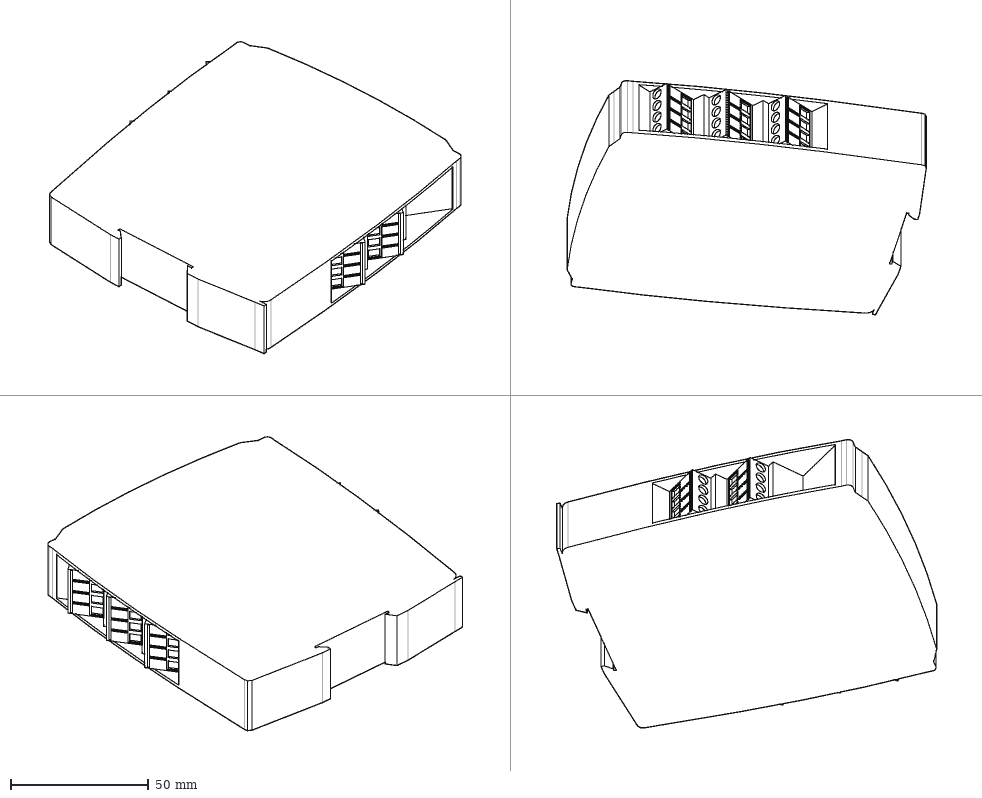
import cadquery as cq
import math

THICKNESS = 22.5
TOP_Y = 61.0
BOTTOM_Y = -61.0

FLANK_HALF_WIDTH = 53.5
FLANK_BOW_Y = 11.2
FLANK_TOP_X = 52.6
FLANK_TOP_Y = 51.6
FLANK_TAPER_X = 52.3
FLANK_TAPER_Y = -28.0

SHOULDER_Y = 55.5
SHOULDER_HALF_WIDTH = 47.9
BEVEL_BEND_X = 44.8
BEVEL_BEND_Y = 57.1
CROWN_HALF_WIDTH = 42.0
CROWN_Y = 58.5
CORNER_RADIUS = 2.0

LEFT_BEVEL_X = 50.6
LEFT_BEVEL_Y = -55.6
LEFT_BEVEL_BEND_X = 50.3
LEFT_BEVEL_BEND_Y = -57.0
LEFT_BEVEL_END_X = 48.8
LEFT_BEVEL_END_Y = -57.8

SLOT_Y = -56.2
HOOK_LIP_Y = -57.1
LEFT_HOOK_X = -14.3
LEFT_HOOK_FLAT_X = -18.2
LEFT_HOOK_NOSE_Y = -59.6
LEFT_HOOK_ROOT_X = -16.8
SLOT_LEFT_X = -17.8
SLOT_RIGHT_X = 16.7
FOOT_TIP_X = 14.8
FOOT_Y = -60.6
FOOT_FLAT_LEFT_X = 17.5
FOOT_FLAT_RIGHT_X = 22.7
FOOT_BEND_X = 47.1
FOOT_BEND_Y = -57.8
FOOT_END_X = 51.1
FOOT_END_Y = -57.5
CREASE_X = 48.0
RIGHT_CORNER_X = 50.7
RIGHT_CORNER_Y = -53.2

WINDOW_TOP_Y = 49.3
WINDOW_BOTTOM_Y = -20.5
WINDOW_HEIGHT = 19.8
PLUG_COUNT = 3
PLUG_PITCH = 22.0
OVERALL_WIDTH = 110.6
PLUG_TIP_X = -OVERALL_WIDTH / 2
FIRST_TIP_Y = 39.5
PLUG_TILT = math.radians(37.7)
PLUG_LENGTH = 14.5
PLUG_DEPTH = 8.3
NOTCH_SIDE = 22.0

POLE_COUNT = 4
POLE_PITCH = 5.0
SCREW_DIAMETER = 4.0
SCREW_HOLE_DEPTH = 1.2
SCREW_FROM_TIP = 4.9
PANEL_START = 1.0
PANEL_END = 13.5
PANEL_HEIGHT = 19.3
PANEL_SINK = 0.4
BUTTON_START = 1.7
BUTTON_END = 8.0
BUTTON_HEIGHT = 4.3
ENTRY_START = 8.7
ENTRY_HEIGHT = 3.4
ENTRY_DEPTH = 0.7

ALONG = (math.sin(PLUG_TILT), -math.cos(PLUG_TILT))
INWARD = (math.cos(PLUG_TILT), math.sin(PLUG_TILT))
POLE_HEIGHTS = [(i - (POLE_COUNT - 1) / 2) * POLE_PITCH for i in range(POLE_COUNT)]


def make_housing():
    flank = [
        (FLANK_TOP_X, FLANK_TOP_Y),
        (FLANK_HALF_WIDTH, FLANK_BOW_Y),
        (FLANK_TAPER_X, FLANK_TAPER_Y),
    ]
    right_flank = flank + [(RIGHT_CORNER_X, RIGHT_CORNER_Y)]
    left_flank = [(-x, y) for x, y in flank + [(LEFT_BEVEL_X, LEFT_BEVEL_Y)]]
    left_flank.reverse()
    outline = (
        cq.Workplane("XY", origin=(0, 0, -THICKNESS / 2))
        .moveTo(-CROWN_HALF_WIDTH, CROWN_Y)
        .threePointArc((0, TOP_Y), (CROWN_HALF_WIDTH, CROWN_Y))
        .lineTo(BEVEL_BEND_X, BEVEL_BEND_Y)
        .lineTo(SHOULDER_HALF_WIDTH, SHOULDER_Y)
        .lineTo(FLANK_TOP_X, SHOULDER_Y)
        .lineTo(FLANK_TOP_X, FLANK_TOP_Y)
        .spline(right_flank[1:], includeCurrent=True)
        .tangentArcPoint((CREASE_X, SLOT_Y), relative=False)
        .lineTo(FOOT_END_X, SLOT_Y)
        .lineTo(FOOT_END_X, FOOT_END_Y)
        .lineTo(FOOT_BEND_X, FOOT_BEND_Y)
        .lineTo(FOOT_FLAT_RIGHT_X, FOOT_Y)
        .lineTo(FOOT_FLAT_LEFT_X, FOOT_Y)
        .lineTo(FOOT_TIP_X, HOOK_LIP_Y)
        .lineTo(SLOT_RIGHT_X, HOOK_LIP_Y)
        .lineTo(SLOT_RIGHT_X, SLOT_Y)
        .lineTo(SLOT_LEFT_X, SLOT_Y)
        .lineTo(SLOT_LEFT_X, HOOK_LIP_Y)
        .lineTo(LEFT_HOOK_ROOT_X, HOOK_LIP_Y)
        .lineTo(LEFT_HOOK_X, LEFT_HOOK_NOSE_Y)
        .lineTo(LEFT_HOOK_X, BOTTOM_Y)
        .lineTo(LEFT_HOOK_FLAT_X, BOTTOM_Y)
        .lineTo(-LEFT_BEVEL_END_X, LEFT_BEVEL_END_Y)
        .lineTo(-LEFT_BEVEL_BEND_X, LEFT_BEVEL_BEND_Y)
        .lineTo(-LEFT_BEVEL_X, LEFT_BEVEL_Y)
        .spline(left_flank[1:], includeCurrent=True)
        .lineTo(-FLANK_TOP_X, SHOULDER_Y)
        .lineTo(-SHOULDER_HALF_WIDTH, SHOULDER_Y)
        .lineTo(-BEVEL_BEND_X, BEVEL_BEND_Y)
        .close()
    )
    body = outline.extrude(THICKNESS)
    for x in (-FLANK_TOP_X, FLANK_TOP_X):
        edge = body.edges(cq.selectors.NearestToPointSelector((x, SHOULDER_Y, 0)))
        body = edge.fillet(CORNER_RADIUS)
    return body


def plug_point(tip, along, inward):
    """Point at the given distances from a plug tip, in the tilted plug directions."""
    x = tip[0] + along * ALONG[0] + inward * INWARD[0]
    y = tip[1] + along * ALONG[1] + inward * INWARD[1]
    return (x, y)


def tilted_prism(tip, section, height, z=0):
    """Prism along Z whose section is given as (along, inward) distances from the tip."""
    points = [plug_point(tip, along, inward) for along, inward in section]
    base = cq.Workplane("XY", origin=(0, 0, z - height / 2))
    return base.polyline(points).close().extrude(height)


def tilted_block(tip, along, inward, height, z=0):
    """Tilted box between two along distances and two inward distances."""
    section = [
        (along[0], inward[0]),
        (along[1], inward[0]),
        (along[1], inward[1]),
        (along[0], inward[1]),
    ]
    return tilted_prism(tip, section, height, z)


def make_notch(tip):
    """Right-angled socket whose inner corner is the inner corner of a seated plug."""
    along = (PLUG_LENGTH - NOTCH_SIDE, PLUG_LENGTH)
    inward = (PLUG_DEPTH - NOTCH_SIDE, PLUG_DEPTH)
    return tilted_block(tip, along, inward, WINDOW_HEIGHT)


def make_plug(tip):
    plug = tilted_block(tip, (0, PLUG_LENGTH), (0, PLUG_DEPTH), WINDOW_HEIGHT)
    panel = tilted_block(tip, (PANEL_START, PANEL_END), (0, PANEL_SINK), PANEL_HEIGHT)
    plug = plug.cut(panel)

    entry_section = [
        (ENTRY_START, PANEL_SINK),
        (PANEL_END, PANEL_SINK),
        (PANEL_END - ENTRY_DEPTH, PANEL_SINK + ENTRY_DEPTH),
        (ENTRY_START, PANEL_SINK + ENTRY_DEPTH),
    ]
    for z in POLE_HEIGHTS:
        button = tilted_block(tip, (BUTTON_START, BUTTON_END), (0, PANEL_SINK), BUTTON_HEIGHT, z)
        plug = plug.union(button)
        plug = plug.cut(tilted_prism(tip, entry_section, ENTRY_HEIGHT, z))

        x, y = plug_point(tip, 0, SCREW_FROM_TIP)
        screw_axis = cq.Vector(ALONG[0], ALONG[1], 0)
        hole = cq.Solid.makeCylinder(
            SCREW_DIAMETER / 2, SCREW_HOLE_DEPTH, cq.Vector(x, y, z), screw_axis
        )
        plug = plug.cut(cq.Workplane(hole))
    return plug


tips = [(PLUG_TIP_X, FIRST_TIP_Y - i * PLUG_PITCH) for i in range(PLUG_COUNT)]

window_length = WINDOW_TOP_Y - WINDOW_BOTTOM_Y
window_mid_y = (WINDOW_TOP_Y + WINDOW_BOTTOM_Y) / 2
window = cq.Workplane("XY").box(2 * FLANK_HALF_WIDTH, window_length, WINDOW_HEIGHT)
window = window.translate((-FLANK_HALF_WIDTH, window_mid_y, 0))

result = make_housing()
plugs = [make_plug(tip) for tip in tips]
for notch_tip in tips:
    socket = make_notch(notch_tip).intersect(window)
    result = result.cut(socket).cut(socket.mirror("YZ"))

for plug in plugs:
    result = result.union(plug)
for plug in plugs[1:]:
    result = result.union(plug.mirror("YZ"))